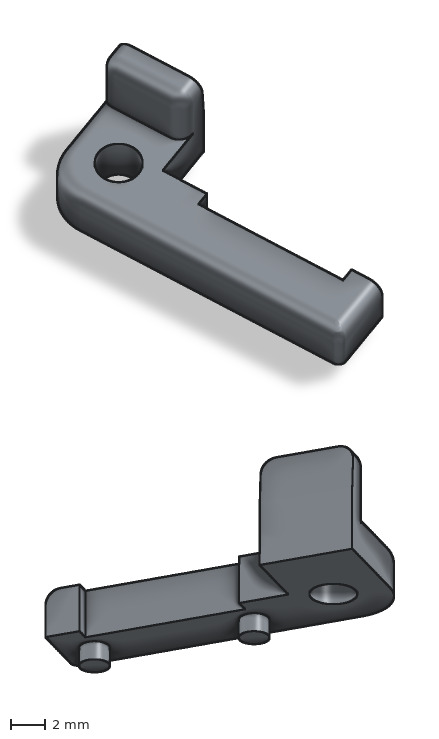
import cadquery as cq

length = 21.23
depth = 8.8
plate_height = 3.01
arm_depth = 4.44
edge_radius = 0.98
left_corner_radius = 2.97
right_corner_radius = 0.5

notch_start = 8.95
notch_end = 19.06
notch_floor = 3.52

lug_width = 5.85
lug_thickness = 2.12
lug_height = 6.88
taper_start = 4.0
taper_depth = 0.2

hole_x = 3.4
hole_y = 3.48
hole_diameter = 2.8

first_peg_x = 9.02
peg_spacing = notch_end - notch_start
peg_y = 2.0
peg_diameter = 1.8
peg_length = 1.17
peg_count = 2

margin = 0.02


def edges_within(low, high):
    """Select plate edges whose centres lie in an XY rectangle, slightly enlarged."""
    return cq.selectors.BoxSelector(
        (low[0] - margin, low[1] - margin, -margin),
        (high[0] + margin, high[1] + margin, plate_height + margin),
    )


def make_plate():
    """L-shaped plate with rounded left, front and right upper edges."""
    outline = [
        (0, 0),
        (length, 0),
        (length, arm_depth),
        (notch_end, arm_depth),
        (notch_end, notch_floor),
        (notch_start, notch_floor),
        (notch_start, arm_depth),
        (lug_width, arm_depth),
        (lug_width, depth),
        (0, depth),
    ]
    plate = cq.Workplane("XY").polyline(outline).close().extrude(plate_height)
    plate = plate.edges("|Z and <X and <Y").fillet(left_corner_radius)
    left_corner_and_side = edges_within((0, 0), (left_corner_radius, depth - margin))
    front_side = edges_within((0, 0), (length, 0))
    right_side = edges_within((length, 0), (length, arm_depth))
    rounded_edges = left_corner_and_side + front_side + right_side
    plate = plate.faces(">Z").edges(rounded_edges).fillet(edge_radius)

    right_corner = edges_within((length - edge_radius, 0), (length, edge_radius - margin))
    return plate.edges(right_corner).edges("not(#Z)").fillet(right_corner_radius)


def make_lug():
    """Upright block with a rounded front and top and a tapered back."""
    lug = cq.Workplane("XY").box(lug_width, lug_thickness, lug_height, centered=False)
    lug = lug.translate((0, depth - lug_thickness, 0))
    lug = lug.edges("(|Z and <Y) or (>Z and (not >Y))").fillet(edge_radius)
    taper = (
        cq.Workplane("YZ")
        .moveTo(depth, taper_start)
        .lineTo(depth, lug_height)
        .lineTo(depth - taper_depth, lug_height)
        .close()
        .extrude(lug_width)
    )
    return lug.cut(taper)


def make_pegs():
    """Two round pegs running down from the underside."""
    centres = [(first_peg_x + i * peg_spacing, peg_y) for i in range(peg_count)]
    return cq.Workplane("XY").pushPoints(centres).circle(peg_diameter / 2).extrude(-peg_length)


hole = cq.Workplane("XY").center(hole_x, hole_y).circle(hole_diameter / 2).extrude(plate_height)

result = make_plate().union(make_lug()).union(make_pegs()).cut(hole)